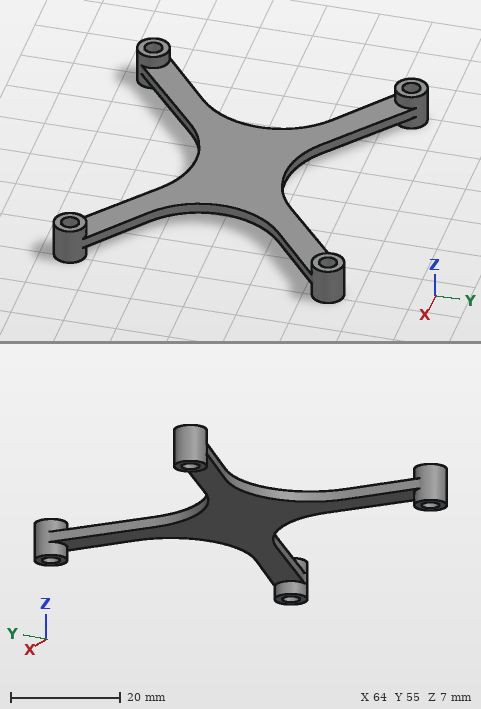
import cadquery as cq
import math

hole_spacing_x = 58.0
hole_spacing_y = 49.0
boss_diameter = 6.0
boss_height = 7.0
hole_diameter = 3.25
arm_width_at_hub = 5.1
arm_width_at_boss = 5.7
plate_thickness = 2.0
crotch_radius = 16.0

arm_length = math.hypot(hole_spacing_x, hole_spacing_y) / 2
arm_angle = math.degrees(math.atan2(hole_spacing_y, hole_spacing_x))
plate_bottom = (boss_height - plate_thickness) / 2


def make_arm_pair(angle):
    """Two opposite arms, narrowest at the centre and widening to the bosses."""
    half_hub = arm_width_at_hub / 2
    half_boss = arm_width_at_boss / 2
    outline = [
        (-arm_length, -half_boss),
        (0, -half_hub),
        (arm_length, -half_boss),
        (arm_length, half_boss),
        (0, half_hub),
        (-arm_length, half_boss),
    ]
    return (
        cq.Workplane("XY")
        .workplane(offset=plate_bottom)
        .transformed(rotate=(0, 0, angle))
        .polyline(outline)
        .close()
        .extrude(plate_thickness)
    )


def make_cross_plate():
    """Two crossing arm pairs with the four inner corners rounded into a web."""
    cross = make_arm_pair(arm_angle).union(make_arm_pair(-arm_angle))
    corner_box = cq.selectors.BoxSelector(
        (-arm_length / 2, -arm_length / 2, 0),
        (arm_length / 2, arm_length / 2, boss_height),
    )
    return cross.edges("|Z").edges(corner_box).fillet(crotch_radius)


def cylinders_at_corners(diameter):
    """Full-height cylinders at the four mounting positions."""
    return (
        cq.Workplane("XY")
        .rect(hole_spacing_x, hole_spacing_y, forConstruction=True)
        .vertices()
        .circle(diameter / 2)
        .extrude(boss_height)
    )


bosses = cylinders_at_corners(boss_diameter)
holes = cylinders_at_corners(hole_diameter)
result = make_cross_plate().union(bosses).cut(holes)